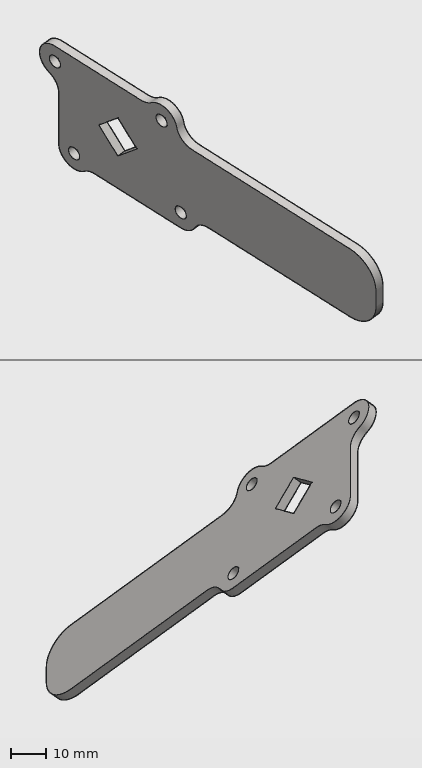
import cadquery as cq
import math

thickness = 3.0
length = 130.2
height = 46.0
paddle_half_width = 13.1
paddle_corner_radius = 10.0

ear_radius = 6.0
blend_radius = 6.0
hole_diameter = 4.3
inner_x = 16.9
inner_z = height / 2 - ear_radius
outer_x = 24.3
outer_z = 13.9
square_side = 10.4

upper_left = (-outer_x, outer_z)
upper_right = (inner_x, inner_z)
lower_left = (-inner_x, -inner_z)
lower_right = (outer_x, -outer_z)

plate_half_height = outer_z + ear_radius
plate_left = -inner_x - ear_radius
paddle_end = length - outer_x - ear_radius

LEFT, RIGHT, UP, DOWN = (-1, 0), (1, 0), (0, 1), (0, -1)


def shift(point, direction, distance):
    return (point[0] + direction[0] * distance, point[1] + direction[1] * distance)


def arc_middle(center, radius, start, end):
    """Middle of an arc shorter than a half turn."""
    dx = start[0] + end[0] - 2 * center[0]
    dz = start[1] + end[1] - 2 * center[1]
    size = math.hypot(dx, dz)
    return shift(center, (dx / size, dz / size), radius)


def blend(ear, outward, edge_distance, along):
    """Concave arc joining an ear to a straight edge: (point on ear, middle, point on edge).

    The edge faces outward at edge_distance from the origin and leaves the ear in direction along.
    """
    ear_distance = ear[0] * outward[0] + ear[1] * outward[1]
    rise = edge_distance + blend_radius - ear_distance
    reach = ear_radius + blend_radius
    run = math.sqrt(reach**2 - rise**2)
    center = shift(shift(ear, outward, rise), along, run)
    to_center = ((center[0] - ear[0]) / reach, (center[1] - ear[1]) / reach)
    on_ear = shift(ear, to_center, ear_radius)
    on_edge = shift(center, outward, -blend_radius)
    return on_ear, arc_middle(center, blend_radius, on_ear, on_edge), on_edge


def ear_arc(outline, ear, start, end):
    return outline.threePointArc(arc_middle(ear, ear_radius, start, end), end)


def make_outline():
    """Counter-clockwise outline of plate, ears and paddle."""
    bottom_ear, bottom_middle, bottom_edge = blend(lower_left, DOWN, plate_half_height, RIGHT)
    under_ear, under_middle, under_edge = blend(lower_right, DOWN, paddle_half_width, RIGHT)
    over_ear, over_middle, over_edge = blend(upper_right, UP, paddle_half_width, RIGHT)
    top_ear, top_middle, top_edge = blend(upper_right, UP, plate_half_height, LEFT)
    side_ear, side_middle, side_edge = blend(upper_left, LEFT, -plate_left, DOWN)

    lower_right_start = shift(lower_right, DOWN, ear_radius)
    upper_left_start = shift(upper_left, UP, ear_radius)
    lower_left_start = shift(lower_left, LEFT, ear_radius)

    outline = cq.Workplane("XZ").moveTo(*bottom_edge).lineTo(*lower_right_start)
    outline = ear_arc(outline, lower_right, lower_right_start, under_ear)
    outline = outline.threePointArc(under_middle, under_edge)

    outline = outline.lineTo(paddle_end, -paddle_half_width)
    outline = outline.lineTo(paddle_end, paddle_half_width)
    outline = outline.lineTo(*over_edge)

    outline = outline.threePointArc(over_middle, over_ear)
    outline = ear_arc(outline, upper_right, over_ear, top_ear)
    outline = outline.threePointArc(top_middle, top_edge).lineTo(*upper_left_start)

    outline = ear_arc(outline, upper_left, upper_left_start, side_ear)
    outline = outline.threePointArc(side_middle, side_edge).lineTo(*lower_left_start)
    outline = ear_arc(outline, lower_left, lower_left_start, bottom_ear)
    return outline.threePointArc(bottom_middle, bottom_edge).close()


plate = make_outline().extrude(thickness / 2, both=True)
plate = plate.faces(">X").edges("|Y").fillet(paddle_corner_radius)

ears = [upper_left, upper_right, lower_left, lower_right]
mounting_holes = cq.Workplane("XZ").pushPoints(ears).circle(hole_diameter / 2).extrude(thickness, both=True)
square_hole = (
    cq.Workplane("XZ")
    .transformed(rotate=(0, 0, 45))
    .rect(square_side, square_side)
    .extrude(thickness, both=True)
)

result = plate.cut(mounting_holes).cut(square_hole)